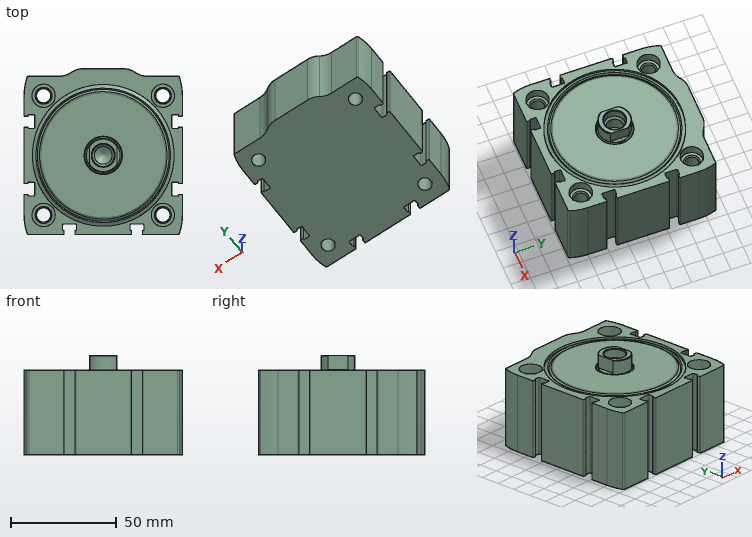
import cadquery as cq
import math

width = 75.0
half_width = width / 2
total_depth = 78.5
hill_top_y = total_depth - half_width
back_y = 37.45
body_height = 40.0
total_height = 47.0

flank_straight_y = 28.25
flank_radius = 27.1
front_corner_radius = 1.1
back_corner_radius = 0.55
hill_top_half = 9.5
hill_foot_half = 20.8

slot_offset = 15.9
neck_width = 5.1
neck_depth = 1.9
slot_width = 6.4
slot_depth = 5.0
slot_corner_radius = 0.5
mouth_radius = 0.4

bolt_offset = 28.2
bolt_radius = 6.7 / 2
bolt_countersink_radius = 8.0 / 2
bolt_counterbore_radius = 11.0 / 2
bolt_counterbore_depth = 5.0

cover_radius = 29.5
cover_edge_radius = 30.15
cover_edge_drop = 0.15
seam_radius = 31.2
seam_drop = 0.95
lip_radius = 31.8
lip_drop = 0.2
groove_radius = 67.0 / 2
groove_drop = 1.25

wiper_lip_drop = 0.2
wiper_foot_radius = 8.7
wiper_drop = 0.95
wiper_groove_radius = 18.1 / 2

rod_radius = 16.0 / 2
rod_insertion = 20.0
rod_edge_chamfer = 0.3
flat_width = 12.95
flat_rise = 0.3
flat_runout_angle = 34.0
thread_radius = 10.5 / 2
thread_chamfer = 0.4
thread_depth = 4.6
drill_radius = 8.4 / 2
drill_depth = 12.55
drill_point_angle = 118.0


def revolved(points):
    """Solid of revolution about the Z axis from (radius, height) points."""
    return cq.Workplane("XZ").polyline(points).close().revolve(360, (0, 0, 0), (0, 1, 0))


def flank_point(y):
    """Point on the curved end of the +X flank."""
    run = abs(y) - flank_straight_y
    return (half_width - flank_radius + math.sqrt(flank_radius**2 - run**2), y)


def mirrored(point):
    return (-point[0], point[1])


def housing_block():
    front_corner = flank_point(-half_width)
    front_mid = flank_point(-(flank_straight_y + half_width) / 2)
    front_tangent = (half_width, -flank_straight_y)
    back_tangent = (half_width, flank_straight_y)
    back_mid = flank_point((flank_straight_y + back_y) / 2)
    back_corner = flank_point(back_y)
    hill_foot = (hill_foot_half, back_y)
    hill_mid = ((hill_top_half + hill_foot_half) / 2, (hill_top_y + back_y) / 2)
    hill_top = (hill_top_half, hill_top_y)

    block = (
        cq.Workplane("XY")
        .moveTo(*mirrored(front_corner))
        .lineTo(*front_corner)
        .threePointArc(front_mid, front_tangent)
        .lineTo(*back_tangent)
        .threePointArc(back_mid, back_corner)
        .lineTo(*hill_foot)
        .tangentArcPoint(hill_mid, relative=False)
        .tangentArcPoint(hill_top, relative=False)
        .lineTo(*mirrored(hill_top))
        .tangentArcPoint(mirrored(hill_mid), relative=False)
        .tangentArcPoint(mirrored(hill_foot), relative=False)
        .lineTo(*mirrored(back_corner))
        .threePointArc(mirrored(back_mid), mirrored(back_tangent))
        .lineTo(*mirrored(front_tangent))
        .threePointArc(mirrored(front_mid), mirrored(front_corner))
        .close()
        .extrude(body_height)
    )
    for corner, radius in ((front_corner, front_corner_radius), (back_corner, back_corner_radius)):
        for x, y in (corner, mirrored(corner)):
            nearest_edge = cq.selectors.NearestToPointSelector((x, y, body_height / 2))
            block = block.edges("|Z").edges(nearest_edge).fillet(radius)
    return block


def t_slot():
    """Full-height T-slot cutter that opens at y = -half_width, with a rounded mouth."""
    edge = neck_width / 2
    flare = edge + mouth_radius
    arc_offset = mouth_radius * (1 - math.sqrt(0.5))
    neck = (
        cq.Workplane("XY")
        .moveTo(-flare, 0)
        .threePointArc((-edge - arc_offset, arc_offset), (-edge, mouth_radius))
        .lineTo(-edge, slot_depth / 2)
        .lineTo(edge, slot_depth / 2)
        .lineTo(edge, mouth_radius)
        .threePointArc((edge + arc_offset, arc_offset), (flare, 0))
        .close()
        .extrude(body_height)
    )
    chamber = (
        cq.Workplane("XY")
        .box(slot_width, slot_depth - neck_depth, body_height, centered=(True, False, False))
        .edges("|Z")
        .fillet(slot_corner_radius)
        .translate((0, neck_depth, 0))
    )
    return neck.union(chamber).translate((0, -half_width, 0))


def bolt_hole():
    """Through hole with a countersunk edge below a counterbore."""
    ledge = body_height - bolt_counterbore_depth
    countersink_height = bolt_countersink_radius - bolt_radius
    return revolved([
        (0, 0),
        (bolt_radius, 0),
        (bolt_radius, ledge - countersink_height),
        (bolt_countersink_radius, ledge),
        (bolt_counterbore_radius, ledge),
        (bolt_counterbore_radius, body_height),
        (0, body_height),
    ])


def cover_groove():
    """Ring cut between the chamfered cover edge and the groove wall."""
    return revolved([
        (cover_radius, body_height),
        (cover_edge_radius, body_height - cover_edge_drop),
        (seam_radius, body_height - seam_drop),
        (lip_radius, body_height - lip_drop),
        (groove_radius, body_height - groove_drop),
        (groove_radius, body_height),
    ])


def rod_hole():
    """Blind hole for the rod, with the wiper groove around its mouth."""
    hole_floor = body_height - rod_insertion
    return revolved([
        (0, hole_floor),
        (rod_radius, hole_floor),
        (rod_radius, body_height - wiper_lip_drop),
        (wiper_foot_radius, body_height - wiper_drop),
        (wiper_groove_radius, body_height - wiper_drop),
        (wiper_groove_radius, body_height),
        (0, body_height),
    ])


def make_housing():
    housing = housing_block().cut(cover_groove()).cut(rod_hole())
    for x in (-bolt_offset, bolt_offset):
        for y in (-bolt_offset, bolt_offset):
            housing = housing.cut(bolt_hole().translate((x, y, 0)))
    for face_angle in (-90, 0, 90):
        for offset in (-slot_offset, slot_offset):
            slot = t_slot().translate((offset, 0, 0))
            housing = housing.cut(slot.rotate((0, 0, 0), (0, 0, 1), face_angle))
    return housing


def rod_blank():
    rod_floor = body_height - rod_insertion
    return revolved([
        (0, rod_floor),
        (rod_radius, rod_floor),
        (rod_radius, total_height - rod_edge_chamfer),
        (rod_radius - rod_edge_chamfer, total_height),
        (0, total_height),
    ])


def rod_bore():
    """Threaded hole: chamfered mouth, step down to the drill size, conical point."""
    thread_floor = total_height - thread_depth
    drill_floor = total_height - drill_depth
    point_height = drill_radius / math.tan(math.radians(drill_point_angle / 2))
    return revolved([
        (0, total_height),
        (thread_radius + thread_chamfer, total_height),
        (thread_radius, total_height - thread_chamfer),
        (thread_radius, thread_floor),
        (drill_radius, thread_floor - (thread_radius - drill_radius)),
        (drill_radius, drill_floor),
        (0, drill_floor - point_height),
    ])


def wrench_flat():
    """Cutter for the +X wrench flat, which runs out down a slope to the rod surface."""
    flat_x = flat_width / 2
    flat_floor = body_height + flat_rise
    runout_drop = (rod_radius - flat_x) * math.tan(math.radians(flat_runout_angle))
    return (
        cq.Workplane("XZ")
        .polyline([
            (flat_x, total_height),
            (flat_x, flat_floor),
            (rod_radius, flat_floor - runout_drop),
            (rod_radius, total_height),
        ])
        .close()
        .extrude(rod_radius, both=True)
    )


def make_rod():
    rod = rod_blank().cut(rod_bore())
    for angle in (0, 180):
        rod = rod.cut(wrench_flat().rotate((0, 0, 0), (0, 0, 1), angle))
    return rod


housing = make_housing()
rod = make_rod()

result = cq.Compound.makeCompound([housing.val(), rod.val()])